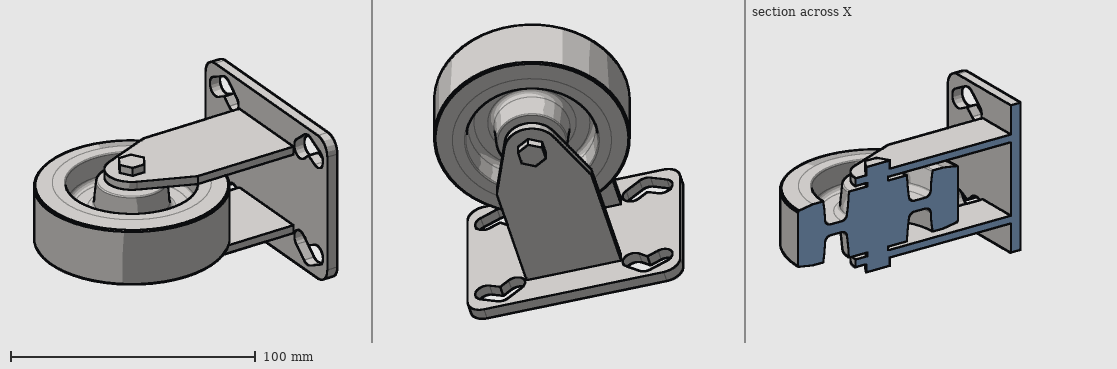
import cadquery as cq
import math


PLATE_WIDTH = 90.0
PLATE_HEIGHT = 66.0
PLATE_THICKNESS = 5.0
PLATE_CORNER_RADIUS = 7.0

SLOT_RADIUS = 4.2
SLOT_OUTER_END = (37.5, 22.3)
SLOT_BEND = (30.5, 25.8)
SLOT_INNER_END = (24.9, 21.0)

OVERALL_LENGTH = 111.0
WHEEL_RADIUS = 80.0 / 2
TREAD_HALF_WIDTH = 12.0
SHOULDER_RADIUS = 39.4
SHOULDER_HALF_WIDTH = 12.7
RIM_RADIUS = 65.0 / 2
RIM_HALF_WIDTH = 13.8
POCKET_MOUTH_RADIUS = 27.1
POCKET_BASE_RADIUS = 26.0
WEB_HALF_THICKNESS = 2.5
WEB_FILLET = 2.5
RIM_FILLET = 0.5
HUB_TOP_RADIUS = 14.5
HUB_BASE_RADIUS = 15.8
HUB_HALF_WIDTH = 14.9

FORK_WIDTH = 40.0
FORK_SHOULDER_Y = 19.1
FORK_TIP_RADIUS = 11.2
FORK_INNER_Z = 16.3
FORK_THICKNESS = 3.7
AXLE_DIAMETER = 10.4
BOLT_ACROSS_FLATS = 10.2
BOLT_HEAD_HEIGHT = 3.7

PLATE_BACK_Y = OVERALL_LENGTH - WHEEL_RADIUS
PLATE_FRONT_Y = PLATE_BACK_Y - PLATE_THICKNESS
FORK_OUTER_Z = FORK_INNER_Z + FORK_THICKNESS


def plate_workplane():
    """XZ plane at the back of the plate; extrusion runs towards -Y."""
    return cq.Workplane("XZ", origin=(0, PLATE_BACK_Y, 0))


def slot_leg(start, end):
    """Straight round-ended cutter between two centreline points."""
    dx = end[0] - start[0]
    dz = end[1] - start[1]
    middle = ((start[0] + end[0]) / 2, (start[1] + end[1]) / 2)
    slot_length = math.hypot(dx, dz) + 2 * SLOT_RADIUS
    angle = math.degrees(math.atan2(dz, dx))
    return (
        plate_workplane()
        .center(*middle)
        .slot2D(slot_length, 2 * SLOT_RADIUS, angle)
        .extrude(PLATE_THICKNESS)
    )


def mounting_plate():
    plate = (
        plate_workplane()
        .rect(PLATE_WIDTH, PLATE_HEIGHT)
        .extrude(PLATE_THICKNESS)
        .edges("|Y")
        .fillet(PLATE_CORNER_RADIUS)
    )
    for side_x in (-1, 1):
        for side_z in (-1, 1):
            outer_end, bend, inner_end = [
                (side_x * x, side_z * z) for x, z in (SLOT_OUTER_END, SLOT_BEND, SLOT_INNER_END)
            ]
            plate = plate.cut(slot_leg(outer_end, bend)).cut(slot_leg(bend, inner_end))
    return plate


class CirclesOfRadius(cq.Selector):
    """Circular edges of one radius."""

    def __init__(self, radius):
        self.radius = radius

    def filter(self, edges):
        return [
            edge for edge in edges
            if edge.geomType() == "CIRCLE" and math.isclose(edge.radius(), self.radius, abs_tol=0.0001)
        ]


def wheel():
    """Revolve the full section about Z, then round the pocket and hub edges."""
    upper_section = [
        (WHEEL_RADIUS, TREAD_HALF_WIDTH),
        (SHOULDER_RADIUS, SHOULDER_HALF_WIDTH),
        (RIM_RADIUS, RIM_HALF_WIDTH),
        (POCKET_MOUTH_RADIUS, RIM_HALF_WIDTH),
        (POCKET_BASE_RADIUS, WEB_HALF_THICKNESS),
        (HUB_BASE_RADIUS, WEB_HALF_THICKNESS),
        (HUB_TOP_RADIUS, HUB_HALF_WIDTH),
        (0, HUB_HALF_WIDTH),
    ]
    lower_section = [(r, -z) for r, z in reversed(upper_section)]
    body = (
        cq.Workplane("XZ")
        .polyline(upper_section + lower_section)
        .close()
        .revolve(360, (0, 0, 0), (0, 1, 0))
    )
    body = body.edges(CirclesOfRadius(POCKET_BASE_RADIUS)).fillet(WEB_FILLET)
    body = body.edges(CirclesOfRadius(HUB_BASE_RADIUS)).fillet(WEB_FILLET)
    body = body.edges(CirclesOfRadius(POCKET_MOUTH_RADIUS)).fillet(RIM_FILLET)
    return body.edges(CirclesOfRadius(HUB_TOP_RADIUS)).fillet(RIM_FILLET)


def fork_leg():
    """Upper leg, tapering along tangents to its rounded tip around the axle."""
    half_width = FORK_WIDTH / 2
    shoulder_distance = math.hypot(half_width, FORK_SHOULDER_Y)
    tangent_angle = (
        math.atan2(FORK_SHOULDER_Y, half_width)
        - math.acos(FORK_TIP_RADIUS / shoulder_distance)
    )
    tangent_x = FORK_TIP_RADIUS * math.cos(tangent_angle)
    tangent_y = FORK_TIP_RADIUS * math.sin(tangent_angle)
    return (
        cq.Workplane("XY", origin=(0, 0, FORK_INNER_Z))
        .moveTo(-half_width, PLATE_FRONT_Y)
        .lineTo(half_width, PLATE_FRONT_Y)
        .lineTo(half_width, FORK_SHOULDER_Y)
        .lineTo(tangent_x, tangent_y)
        .threePointArc((0, -FORK_TIP_RADIUS), (-tangent_x, tangent_y))
        .lineTo(-half_width, FORK_SHOULDER_Y)
        .close()
        .extrude(FORK_THICKNESS)
    )


def bolt_head():
    """Upper hexagonal head with two corners on the Y axis."""
    across_corners = BOLT_ACROSS_FLATS / math.cos(math.pi / 6)
    return (
        cq.Workplane("XY", origin=(0, 0, FORK_OUTER_Z))
        .transformed(rotate=(0, 0, 90))
        .polygon(6, across_corners)
        .extrude(BOLT_HEAD_HEIGHT)
    )


def axle():
    return cq.Workplane("XY").circle(AXLE_DIAMETER / 2).extrude(FORK_INNER_Z, both=True)


upper_side = fork_leg().union(bolt_head())
result = (
    mounting_plate()
    .union(wheel())
    .union(axle())
    .union(upper_side)
    .union(upper_side.mirror("XY"))
)